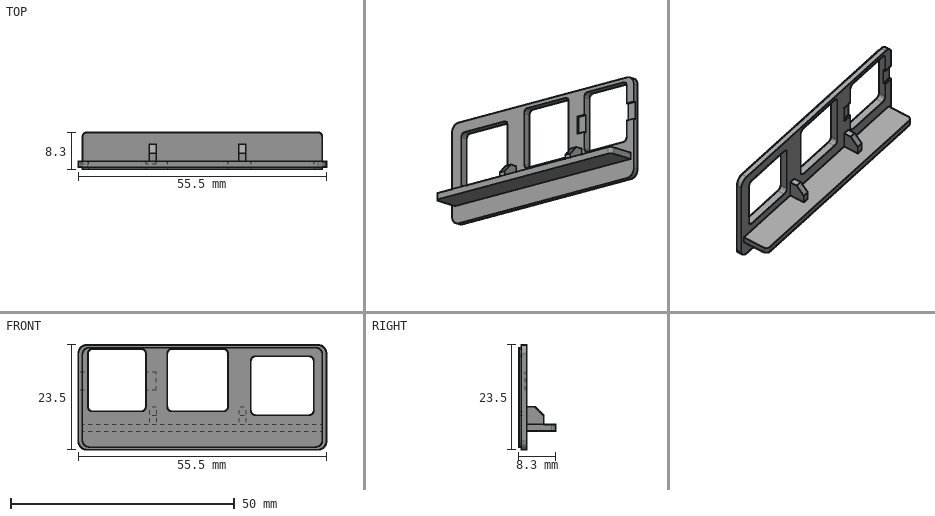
import cadquery as cq

PLATE_WIDTH = 55.5
PLATE_HEIGHT = 23.5
PLATE_THICKNESS = 1.3
PLATE_CORNER_RADIUS = 2.0

PANEL_WIDTH = 53.6
PANEL_HEIGHT = 22.2
PANEL_THICKNESS = 0.5
PANEL_CORNER_RADIUS = 1.5

LEFT_WINDOW = (-25.55, -3.1, 12.9, 13.9)
MIDDLE_WINDOW = (-7.8, -3.1, 13.5, 13.9)
RIGHT_WINDOW = (10.85, -3.95, 14.0, 13.1)
WINDOW_CORNER_RADIUS = 1.0

SHELF_WIDTH = PANEL_WIDTH
SHELF_DEPTH = 6.5
SHELF_THICKNESS = 1.5
SHELF_TOP = -6.05
SHELF_CORNER_RADIUS = 1.0

RIB_CENTERS = (-11.1, 8.9)
RIB_THICKNESS = 1.5
RIB_DEPTH = 3.8
RIB_HEIGHT = 4.0
RIB_CHAMFER = 2.0

GROOVE_BOTTOM = 1.7
GROOVE_HEIGHT = 4.0
GROOVE_DEPTH = 0.5


def rounded_slab(width, height, radius, back_y, thickness):
    """Upright centred slab with rounded corners, reaching from back_y toward -Y."""
    slab = cq.Workplane("XZ", origin=(0, back_y, 0)).rect(width, height).extrude(thickness)
    return slab.edges("|Y").fillet(radius)


def window_cutter(left, bottom, width, height):
    """Rounded block that cuts one window through plate and panel."""
    cutter = rounded_slab(width, height, WINDOW_CORNER_RADIUS, 0, PLATE_THICKNESS + PANEL_THICKNESS)
    return cutter.translate((left + width / 2, 0, bottom + height / 2))


def shelf():
    """Horizontal shelf on the back of the plate, with its two rear corners rounded."""
    slab = cq.Workplane("XY").box(
        SHELF_WIDTH, SHELF_DEPTH, SHELF_THICKNESS, centered=(True, False, False)
    )
    slab = slab.edges("|Z and >Y").fillet(SHELF_CORNER_RADIUS)
    return slab.translate((0, 0, SHELF_TOP - SHELF_THICKNESS))


def rib(center_x):
    """Rib on top of the shelf with its upper rear corner chamfered."""
    block = cq.Workplane("XY").box(
        RIB_THICKNESS, RIB_DEPTH, RIB_HEIGHT, centered=(True, False, False)
    )
    block = block.edges(">Y and >Z").chamfer(RIB_CHAMFER)
    return block.translate((center_x, 0, SHELF_TOP))


def groove_cutter():
    """Groove open at the left edge of the plate and ending as far beyond the left window."""
    plate_left = -PLATE_WIDTH / 2
    window_left, _, window_width, _ = LEFT_WINDOW
    margin = window_left - plate_left
    length = window_width + 2 * margin
    cutter = cq.Workplane("XY").box(length, GROOVE_DEPTH, GROOVE_HEIGHT, centered=False)
    return cutter.translate((plate_left, -GROOVE_DEPTH, GROOVE_BOTTOM))


plate = rounded_slab(PLATE_WIDTH, PLATE_HEIGHT, PLATE_CORNER_RADIUS, 0, PLATE_THICKNESS)
panel = rounded_slab(PANEL_WIDTH, PANEL_HEIGHT, PANEL_CORNER_RADIUS, -PLATE_THICKNESS, PANEL_THICKNESS)

body = plate.union(panel).union(shelf())
for rib_center in RIB_CENTERS:
    body = body.union(rib(rib_center))
for window in (LEFT_WINDOW, MIDDLE_WINDOW, RIGHT_WINDOW):
    body = body.cut(window_cutter(*window))

result = body.cut(groove_cutter())